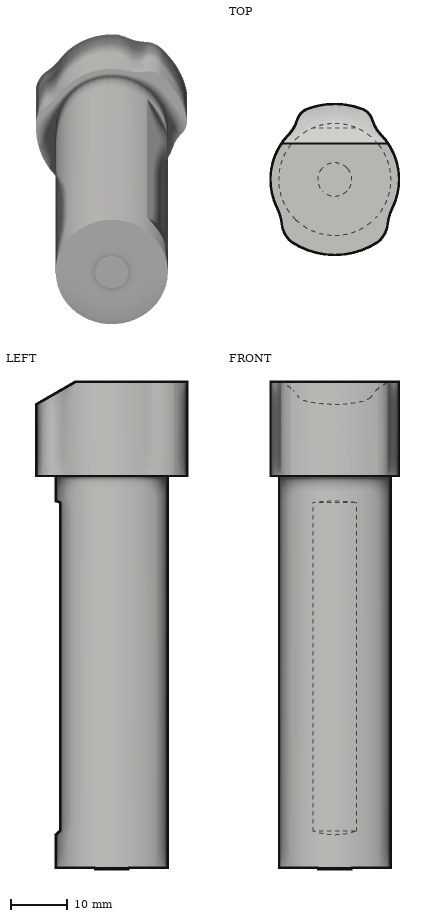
import cadquery as cq
import math

total_height = 87.0
head_height = 16.9
foot_height = 0.3
head_bottom = total_height - head_height

shaft_diameter = 20.0
foot_diameter = 6.0

head_width = 23.0
head_depth = 27.0
end_arc_radius = 13.9
front_corner_radius = 4.9
front_hollow_radius = 8.7
rear_corner_radius = 6.5 / 2
rear_hollow_radius = 6.3
front_corner_start_x = 7.7
front_corner_end = (9.5, -7.7)
front_hollow_end_y = -5.1
rear_hollow_start_y = 8.0
rear_corner_start = (6.8, 10.4)
rear_corner_end_x = 5.0

slope_start_y = 6.4
slope_angle = 30.0

flat_depth = 0.8
flat_bottom = 6.9
flat_top = head_bottom - 4.7
lower_ramp_height = 0.7
upper_ramp_height = 0.3


def side_point(y):
    """Point on the large circular flank of the head at the given y."""
    return (math.sqrt((head_width / 2) ** 2 - y**2), y)


def end_arc_y(x):
    """Distance from the XZ plane to the rear or front end arc of the head at the given x."""
    return head_depth / 2 - end_arc_radius + math.sqrt(end_arc_radius**2 - x**2)


def arc_to(sketch, start, end, radius, bulge):
    """Add the short arc from start to end; bulge is 1 for right of travel, -1 for left."""
    dx = end[0] - start[0]
    dy = end[1] - start[1]
    chord = math.hypot(dx, dy)
    rise = bulge * (radius - math.sqrt(radius**2 - (chord / 2) ** 2))
    middle = (
        (start[0] + end[0]) / 2 + rise * dy / chord,
        (start[1] + end[1]) / 2 - rise * dx / chord,
    )
    return sketch.threePointArc(middle, end)


def make_head():
    front = (0, -head_depth / 2)
    arcs = [
        ((front_corner_start_x, -end_arc_y(front_corner_start_x)), end_arc_radius, 1),
        (front_corner_end, front_corner_radius, 1),
        (side_point(front_hollow_end_y), front_hollow_radius, -1),
        (side_point(rear_hollow_start_y), head_width / 2, 1),
        (rear_corner_start, rear_hollow_radius, -1),
        ((rear_corner_end_x, end_arc_y(rear_corner_end_x)), rear_corner_radius, 1),
        ((0, head_depth / 2), end_arc_radius, 1),
    ]
    outline = cq.Workplane("XY").workplane(offset=head_bottom).moveTo(*front)
    start = front
    for end, radius, bulge in arcs:
        outline = arc_to(outline, start, end, radius, bulge)
        start = end
    half = outline.close().extrude(head_height)
    head = half.union(half.mirror("YZ")).clean()

    slope_run = head_depth / 2 - slope_start_y
    slope_drop = slope_run * math.tan(math.radians(slope_angle))
    wedge = (
        cq.Workplane("YZ")
        .moveTo(slope_start_y, total_height)
        .lineTo(head_depth / 2, total_height - slope_drop)
        .lineTo(head_depth / 2, total_height)
        .close()
        .extrude(head_width / 2, both=True)
    )
    return head.cut(wedge)


def make_shaft():
    shaft = (
        cq.Workplane("XY")
        .workplane(offset=foot_height)
        .circle(shaft_diameter / 2)
        .extrude(head_bottom - foot_height)
    )
    foot = cq.Workplane("XY").circle(foot_diameter / 2).extrude(foot_height)
    outer_y = shaft_diameter / 2
    flat_y = outer_y - flat_depth
    flat_cut = (
        cq.Workplane("YZ")
        .moveTo(outer_y, flat_bottom - lower_ramp_height)
        .lineTo(flat_y, flat_bottom)
        .lineTo(flat_y, flat_top)
        .lineTo(outer_y, flat_top + upper_ramp_height)
        .close()
        .extrude(shaft_diameter / 2, both=True)
    )
    return shaft.cut(flat_cut).union(foot)


result = make_shaft().union(make_head())